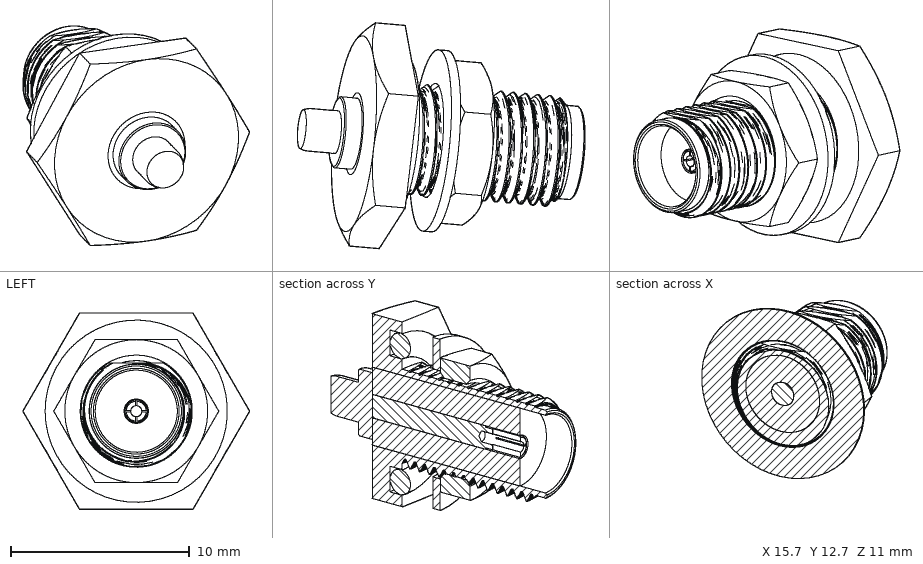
import cadquery as cq
import math


COLLAR_RADIUS = 2.63
COLLAR_LENGTH = 0.8
COLLAR_CHAMFER = 0.1
THREAD_RADIUS = 3.12
THREAD_ROOT_RADIUS = 2.64
THREAD_DEPTH = THREAD_RADIUS - THREAD_ROOT_RADIUS
THREAD_PITCH = 25.4 / 36
THREAD_HALF_ANGLE = math.radians(30)
ROOT_PHASE_X = -0.1
FLANK_STEPS = 8
FLAT_HEIGHT = 2.7

FLANGE_FRONT = 10.5
HEX_THICKNESS = 2.2
FLANGE_BACK = FLANGE_FRONT + HEX_THICKNESS
FLANGE_ACROSS_FLATS = 11.0
HEX_CHAMFER_ANGLE = math.radians(30)
BORE_RADIUS = 2.3
MOUTH_RADIUS = 2.4
MOUTH_CHAMFER = MOUTH_RADIUS - BORE_RADIUS

RING_CENTRE_RADIUS = 4.05
RING_SECTION_RADIUS = 0.75
RING_STAND_OUT = 0.6
RING_CENTRE_X = FLANGE_FRONT - RING_STAND_OUT + RING_SECTION_RADIUS
RING_GROOVE_BOTTOM = RING_CENTRE_X + RING_SECTION_RADIUS

NUT_FRONT = 5.57
NUT_BACK = NUT_FRONT + HEX_THICKNESS
NUT_ACROSS_FLATS = 8.0
NUT_BORE_RADIUS = 2.83
NUT_THREAD_CLEARANCE = 0.01
TAP_OVERRUN = 0.1
NUT_COUNTERSINK = THREAD_RADIUS + 2 * NUT_THREAD_CLEARANCE - NUT_BORE_RADIUS
WASHER_THICKNESS = 0.53
WASHER_BACK = NUT_BACK + WASHER_THICKNESS
WASHER_RADIUS = 5.1
WASHER_HOLE_RADIUS = 3.2

INSULATOR_FRONT = 1.95
CONTACT_RADIUS = 0.68
FINGER_RADIUS = 0.63
FINGER_TIP_RADIUS = 0.56
FINGER_LENGTH = 2.5
SOCKET_RADIUS = 0.31
SOCKET_DEPTH = 2.8
SOCKET_CONE_ANGLE = math.radians(118)
SLOT_WIDTH = 0.07
SLOT_DEPTH = 2.0

SHOULDER_RADIUS = 2.0
SHOULDER_LENGTH = 1.0
SHOULDER_BACK = FLANGE_BACK + SHOULDER_LENGTH
SHOULDER_CHAMFER = 0.08
TAIL_RADIUS = 1.2
TAIL_TIP_RADIUS = 1.1
TAIL_BACK = 15.7
NOSE_LENGTH = 0.43


def cylinder(radius, start, end):
    """Solid cylinder along X from x = start to x = end."""
    return cq.Workplane("YZ", origin=(start, 0, 0)).circle(radius).extrude(end - start)


def revolved(points):
    """Body turned about the X axis from (x, radius) points."""
    return cq.Workplane("XY").polyline(points).close().revolve(360, (0, 0, 0), (1, 0, 0))


def hexagon(across_flats, start, end, chamfer_front):
    """Hexagonal prism with flats at +Z and -Z.

    Its corners are turned off at the back and, if asked for, at the front.
    """
    flat_radius = across_flats / 2
    corner_radius = flat_radius / math.cos(math.pi / 6)
    corner_chamfer = (corner_radius - flat_radius) * math.tan(HEX_CHAMFER_ANGLE)
    prism = (
        cq.Workplane("YZ", origin=(start, 0, 0))
        .polygon(6, 2 * corner_radius)
        .extrude(end - start)
    )
    front_points = [(start, corner_radius)]
    if chamfer_front:
        front_points = [(start, flat_radius), (start + corner_chamfer, corner_radius)]
    turned = revolved(
        [(start, 0), *front_points, (end - corner_chamfer, corner_radius), (end, flat_radius), (end, 0)]
    )
    return prism.intersect(turned)


def thread_rod(start, end, clearance):
    """Right-handed threaded rod, grown outwards by a clearance.

    Its cross-section runs round a root arc, up a spiral flank, round a crest arc and down the
    other spiral flank. Twisting it one turn per pitch along X gives the thread.
    """
    root = THREAD_ROOT_RADIUS + clearance
    crest = THREAD_RADIUS + clearance
    rise = THREAD_DEPTH * math.tan(THREAD_HALF_ANGLE)
    root_flat = THREAD_PITCH / 2 - rise
    radians_per_mm = 2 * math.pi / THREAD_PITCH
    root_angle = radians_per_mm * root_flat / 2
    crest_angle = root_angle + radians_per_mm * rise

    def polar(radius, angle):
        return (radius * math.cos(angle), radius * math.sin(angle))

    def rising_flank(t):
        return polar(root + THREAD_DEPTH * t, root_angle + (crest_angle - root_angle) * t)

    def falling_flank(t):
        y, z = rising_flank(1 - t)
        return (y, -z)

    twist = 360 * (end - start) / THREAD_PITCH
    start_angle = 360 * (start - ROOT_PHASE_X) / THREAD_PITCH
    return (
        cq.Workplane("YZ")
        .moveTo(*polar(root, -root_angle))
        .threePointArc(polar(root, 0), polar(root, root_angle))
        .parametricCurve(rising_flank, N=FLANK_STEPS, makeWire=False)
        .threePointArc(polar(crest, math.pi), polar(crest, -crest_angle))
        .parametricCurve(falling_flank, N=FLANK_STEPS, makeWire=False)
        .wire()
        .twistExtrude(end - start, twist)
        .rotate((0, 0, 0), (1, 0, 0), start_angle)
        .translate((start, 0, 0))
    )


def threaded_barrel():
    """Thread with a 45 degree lead-in and a flat along the top."""
    lead_in_length = THREAD_RADIUS
    envelope_radius = THREAD_ROOT_RADIUS + lead_in_length
    envelope = revolved(
        [
            (COLLAR_LENGTH, 0),
            (COLLAR_LENGTH, THREAD_ROOT_RADIUS),
            (COLLAR_LENGTH + lead_in_length, envelope_radius),
            (FLANGE_BACK, envelope_radius),
            (FLANGE_BACK, 0),
        ]
    )
    above_flat = (
        cq.Workplane("XY", origin=(0, 0, FLAT_HEIGHT))
        .rect(3 * FLANGE_BACK, 3 * envelope_radius)
        .extrude(envelope_radius)
    )
    rod = thread_rod(COLLAR_LENGTH, FLANGE_FRONT, 0)
    return rod.intersect(envelope.cut(above_flat), clean=False)


def collar():
    """Plain ring in front of the thread, with a chamfered front edge."""
    return cylinder(COLLAR_RADIUS, 0, COLLAR_LENGTH).faces("<X").chamfer(COLLAR_CHAMFER)


def flange():
    """Hexagonal flange with the O-ring groove in its front face."""
    groove = (
        cq.Workplane("YZ", origin=(FLANGE_FRONT, 0, 0))
        .circle(RING_CENTRE_RADIUS + RING_SECTION_RADIUS)
        .circle(RING_CENTRE_RADIUS - RING_SECTION_RADIUS)
        .extrude(RING_GROOVE_BOTTOM - FLANGE_FRONT)
    )
    return hexagon(FLANGE_ACROSS_FLATS, FLANGE_FRONT, FLANGE_BACK, False).cut(groove)


def make_housing(barrel):
    """Collar, threaded barrel and flange in one piece, bored through from the mouth."""
    bore = revolved(
        [
            (0, 0),
            (0, MOUTH_RADIUS),
            (MOUTH_CHAMFER, BORE_RADIUS),
            (FLANGE_BACK, BORE_RADIUS),
            (FLANGE_BACK, 0),
        ]
    )
    return barrel.union(collar(), clean=False).union(flange(), clean=False).cut(bore, clean=False)


def make_nut():
    """Nut with countersunk ends, tapped to fit over the barrel's thread."""
    countersink_radius = NUT_BORE_RADIUS + NUT_COUNTERSINK
    hole = revolved(
        [
            (NUT_FRONT, 0),
            (NUT_FRONT, countersink_radius),
            (NUT_FRONT + NUT_COUNTERSINK, NUT_BORE_RADIUS),
            (NUT_BACK - NUT_COUNTERSINK, NUT_BORE_RADIUS),
            (NUT_BACK, countersink_radius),
            (NUT_BACK, 0),
        ]
    )
    blank = hexagon(NUT_ACROSS_FLATS, NUT_FRONT, NUT_BACK, True).cut(hole)
    tap = thread_rod(NUT_FRONT - TAP_OVERRUN, NUT_BACK + TAP_OVERRUN, NUT_THREAD_CLEARANCE)
    return blank.cut(tap, clean=False)


def make_washer():
    """Flat washer behind the nut, clear of the thread."""
    return cylinder(WASHER_RADIUS, NUT_BACK, WASHER_BACK).cut(
        cylinder(WASHER_HOLE_RADIUS, NUT_BACK, WASHER_BACK)
    )


def make_o_ring():
    """Sealing ring standing out of the flange groove."""
    return (
        cq.Workplane("XY")
        .center(RING_CENTRE_X, RING_CENTRE_RADIUS)
        .circle(RING_SECTION_RADIUS)
        .revolve(360, (0, -RING_CENTRE_RADIUS, 0), (1, -RING_CENTRE_RADIUS, 0))
    )


def make_contact():
    """Centre contact: four slotted spring fingers around a socket with a conical bottom."""
    finger_back = INSULATOR_FRONT + FINGER_LENGTH
    socket_bottom = INSULATOR_FRONT + SOCKET_DEPTH
    body = revolved(
        [
            (INSULATOR_FRONT, 0),
            (INSULATOR_FRONT, FINGER_TIP_RADIUS),
            (INSULATOR_FRONT + FINGER_RADIUS - FINGER_TIP_RADIUS, FINGER_RADIUS),
            (finger_back, FINGER_RADIUS),
            (finger_back, CONTACT_RADIUS),
            (FLANGE_BACK, CONTACT_RADIUS),
            (FLANGE_BACK, 0),
        ]
    )
    socket = revolved(
        [
            (INSULATOR_FRONT, 0),
            (INSULATOR_FRONT, SOCKET_RADIUS),
            (socket_bottom, SOCKET_RADIUS),
            (socket_bottom + SOCKET_RADIUS / math.tan(SOCKET_CONE_ANGLE / 2), 0),
        ]
    )
    body = body.cut(socket)
    for angle in (0, 90):
        slot = (
            cq.Workplane("YZ", origin=(INSULATOR_FRONT, 0, 0))
            .rect(2 * CONTACT_RADIUS, SLOT_WIDTH)
            .extrude(SLOT_DEPTH)
            .rotate((0, 0, 0), (1, 0, 0), angle)
        )
        body = body.cut(slot)
    return body


def make_insulator():
    """Insulating sleeve between the contact and the housing bore."""
    return cylinder(BORE_RADIUS, INSULATOR_FRONT, FLANGE_BACK).cut(
        cylinder(CONTACT_RADIUS, INSULATOR_FRONT, FLANGE_BACK)
    )


def make_rear_sleeve():
    """Shoulder and tail behind the flange, ending in a rounded nose that starts tangent to the tail."""
    nose_drop = TAIL_RADIUS - TAIL_TIP_RADIUS
    nose_radius = (NOSE_LENGTH**2 + nose_drop**2) / (2 * nose_drop)
    return (
        cq.Workplane("XZ")
        .moveTo(FLANGE_BACK, 0)
        .lineTo(FLANGE_BACK, SHOULDER_RADIUS)
        .lineTo(SHOULDER_BACK - SHOULDER_CHAMFER, SHOULDER_RADIUS)
        .lineTo(SHOULDER_BACK, SHOULDER_RADIUS - SHOULDER_CHAMFER)
        .lineTo(SHOULDER_BACK, TAIL_RADIUS)
        .lineTo(TAIL_BACK - NOSE_LENGTH, TAIL_RADIUS)
        .radiusArc((TAIL_BACK, TAIL_TIP_RADIUS), nose_radius)
        .lineTo(TAIL_BACK, 0)
        .close()
        .revolve(360, (0, 0, 0), (1, 0, 0))
    )


housing = make_housing(threaded_barrel())
nut = make_nut()
washer = make_washer()
o_ring = make_o_ring()
insulator = make_insulator()
contact = make_contact()
rear_sleeve = make_rear_sleeve()

result = cq.Compound.makeCompound(
    [
        *housing.solids().vals(),
        *nut.solids().vals(),
        *washer.solids().vals(),
        *o_ring.solids().vals(),
        *insulator.solids().vals(),
        *contact.solids().vals(),
        *rear_sleeve.solids().vals(),
    ]
)